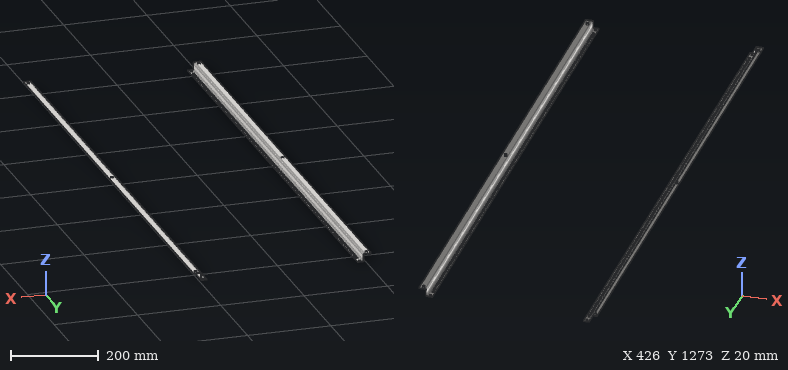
import cadquery as cq

RAIL_LENGTH = 1273.0
OVERALL_WIDTH = 426.0
RAIL_HEIGHT = 20.0

SHEET = 2.0
INNER_BEND = 1.7
OUTER_BEND = INNER_BEND + SHEET
UPPER_WIDTH = 19.0
LOWER_WIDTH = 15.0

STUD_DIAMETER = 6.0
STUD_LENGTH = 5.0
STUD_EDGE_DISTANCE = 8.3
STUD_SPAN = 1250.0

PERFORATION_EDGE_DISTANCE = 6.0
PITCHES_PER_STUD_SPAN = 50
SLOT_PITCH = STUD_SPAN / PITCHES_PER_STUD_SPAN
SLOT_COUNT = 49
SLOT_LENGTH = 12.3
SLOT_WIDTH = 4.0
HOLE_DIAMETER = 4.7
END_HOLE_DISTANCE = 8.0

TOP_Z = RAIL_HEIGHT / 2
BOTTOM_Z = -TOP_Z
OUTER_EDGE_X = -OVERALL_WIDTH / 2
WALL_INNER_X = OUTER_EDGE_X + UPPER_WIDTH
WALL_OUTER_X = WALL_INNER_X - SHEET
INNER_EDGE_X = WALL_OUTER_X + LOWER_WIDTH
STUD_X = OUTER_EDGE_X + STUD_EDGE_DISTANCE
STUD_PLACES = [(STUD_X, y) for y in (-STUD_SPAN / 2, 0, STUD_SPAN / 2)]
PERFORATION_X = INNER_EDGE_X - PERFORATION_EDGE_DISTANCE


def z_profile_bar():
    """Solid Z-shaped bar along Y, before the bends are rounded."""
    outline = [
        (OUTER_EDGE_X, TOP_Z),
        (WALL_INNER_X, TOP_Z),
        (WALL_INNER_X, BOTTOM_Z + SHEET),
        (INNER_EDGE_X, BOTTOM_Z + SHEET),
        (INNER_EDGE_X, BOTTOM_Z),
        (WALL_OUTER_X, BOTTOM_Z),
        (WALL_OUTER_X, TOP_Z - SHEET),
        (OUTER_EDGE_X, TOP_Z - SHEET),
    ]
    return cq.Workplane("XZ").polyline(outline).close().extrude(RAIL_LENGTH / 2, both=True)


def edge_at(x, z):
    """Selector for the full-length edge that runs along Y through (x, z)."""
    return cq.selectors.NearestToPointSelector((x, 0, z))


def round_bends(bar):
    """Round both bends of the sheet, with a constant thickness around each bend."""
    outer_corners = [(WALL_INNER_X, TOP_Z), (WALL_OUTER_X, BOTTOM_Z)]
    inner_corners = [(WALL_OUTER_X, TOP_Z - SHEET), (WALL_INNER_X, BOTTOM_Z + SHEET)]
    for x, z in outer_corners:
        bar = bar.edges("|Y").edges(edge_at(x, z)).fillet(OUTER_BEND)
    for x, z in inner_corners:
        bar = bar.edges("|Y").edges(edge_at(x, z)).fillet(INNER_BEND)
    return bar


def stud_cylinders():
    """Three studs, flush with the top of the upper flange and standing out below it."""
    return (
        cq.Workplane("XY", origin=(0, 0, TOP_Z))
        .pushPoints(STUD_PLACES)
        .circle(STUD_DIAMETER / 2)
        .extrude(-STUD_LENGTH, combine=False)
    )


def row_places(count):
    """Centres of a row of equally pitched openings, centred on the middle of the rail."""
    first_y = -(count - 1) / 2 * SLOT_PITCH
    return [(PERFORATION_X, first_y + i * SLOT_PITCH) for i in range(count)]


def lower_flange_plane():
    """Workplane on the underside of the lower flange, facing up."""
    return cq.Workplane("XY", origin=(0, 0, BOTTOM_Z))


def slot_cutters():
    """Rectangular through slots along the lower flange."""
    places = row_places(SLOT_COUNT)
    return lower_flange_plane().pushPoints(places).rect(SLOT_WIDTH, SLOT_LENGTH).extrude(SHEET)


def hole_cutters():
    """Round through holes between the slots, outside the outermost slots and near the rail ends."""
    end_y = RAIL_LENGTH / 2 - END_HOLE_DISTANCE
    places = [(PERFORATION_X, -end_y), *row_places(SLOT_COUNT + 1), (PERFORATION_X, end_y)]
    return lower_flange_plane().pushPoints(places).circle(HOLE_DIAMETER / 2).extrude(SHEET)


def left_rail():
    """Z-shaped rail with its perforated lower flange and its three stud holes."""
    rail = round_bends(z_profile_bar())
    for cutters in (slot_cutters(), hole_cutters(), stud_cylinders()):
        rail = rail.cut(cutters)
    return rail


left_bodies = [left_rail().val(), *stud_cylinders().vals()]
right_bodies = [body.mirror("YZ") for body in left_bodies]

result = cq.Compound.makeCompound([*left_bodies, *right_bodies])